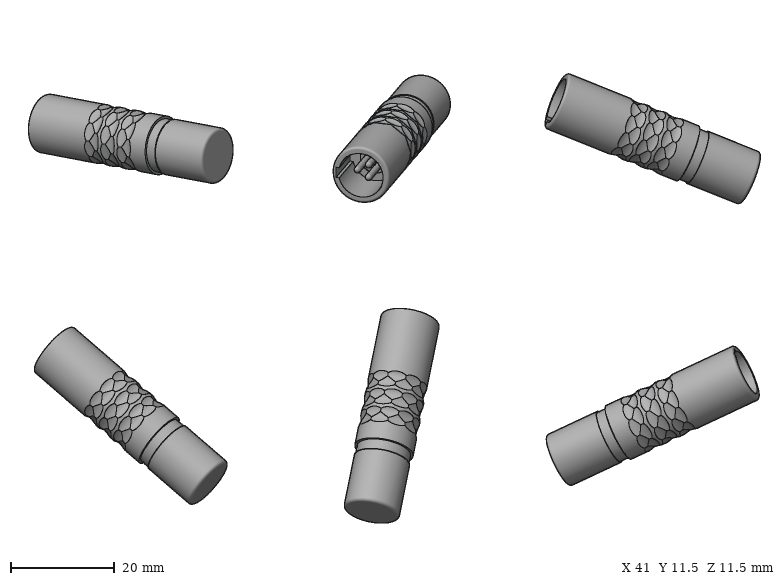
import cadquery as cq
import math


total_length = 41.0
body_radius = 5.75
body_length = 27.8
body_edge_fillet = 0.5
groove_radius = 5.25
sleeve_radius = 5.45
sleeve_start = 29.9
sleeve_edge_fillet = 0.6

socket_radius = 4.5
socket_depth = 9.0
keyway_width = 2.1
keyway_reach = 5.05

insert_radius = 2.9
insert_height = 0.1

pin_count = 3
pin_radius = 0.65
pin_circle_radius = 1.5
pin_tip_x = 2.0

band_count = 3
first_band_x = 15.05
band_pitch = 3.8
hollows_per_row = 10
hollow_radius = 2.0
hollow_depth = 0.4
row_spacing = 0.94


def cylinder_along_x(start, end, radius, y=0.0, z=0.0):
    return cq.Workplane("YZ", origin=(start, y, z)).circle(radius).extrude(end - start)


def make_shell():
    body = cylinder_along_x(0, body_length, body_radius).faces("<X").edges().fillet(body_edge_fillet)
    groove = cylinder_along_x(body_length, sleeve_start, groove_radius)
    sleeve = cylinder_along_x(sleeve_start, total_length, sleeve_radius)
    sleeve = sleeve.faces(">X").edges().fillet(sleeve_edge_fillet)
    return body.union(groove).union(sleeve)


def make_hollow_row(center_x, first_angle):
    """Ring of cylindrical cutters lying tangent to the body; 0 degrees is the +Y direction."""
    angle_step = 360 / hollows_per_row
    cutter_axis_distance = body_radius - hollow_depth + hollow_radius
    cutter_length = body_radius
    cutter = (
        cq.Workplane("XY", origin=(center_x, cutter_axis_distance, -cutter_length / 2))
        .circle(hollow_radius)
        .extrude(cutter_length)
    )
    return [
        cutter.rotate((0, 0, 0), (1, 0, 0), first_angle + index * angle_step)
        for index in range(hollows_per_row)
    ]


def cut_grip(shell):
    half_step = 180 / hollows_per_row
    for band in range(band_count):
        band_x = first_band_x + band * band_pitch
        front_row = make_hollow_row(band_x - row_spacing / 2, half_step)
        rear_row = make_hollow_row(band_x + row_spacing / 2, 0)
        for cutter in front_row + rear_row:
            shell = shell.cut(cutter)
    return shell


def make_socket():
    bore = cylinder_along_x(0, socket_depth, socket_radius)
    keyway = cq.Workplane("XY").box(
        socket_depth, keyway_reach, keyway_width, centered=(False, False, True)
    )
    return bore.union(keyway)


def make_pin(angle):
    y = pin_circle_radius * math.cos(angle)
    z = pin_circle_radius * math.sin(angle)
    nose_center_x = pin_tip_x + pin_radius
    shank = cylinder_along_x(nose_center_x, socket_depth, pin_radius, y, z)
    nose = cq.Workplane("XY", origin=(nose_center_x, y, z)).sphere(pin_radius)
    return shank.union(nose)


def make_contacts():
    contacts = cylinder_along_x(socket_depth - insert_height, socket_depth, insert_radius)
    for index in range(pin_count):
        contacts = contacts.union(make_pin(2 * math.pi * index / pin_count))
    return contacts


result = cut_grip(make_shell()).cut(make_socket()).union(make_contacts())